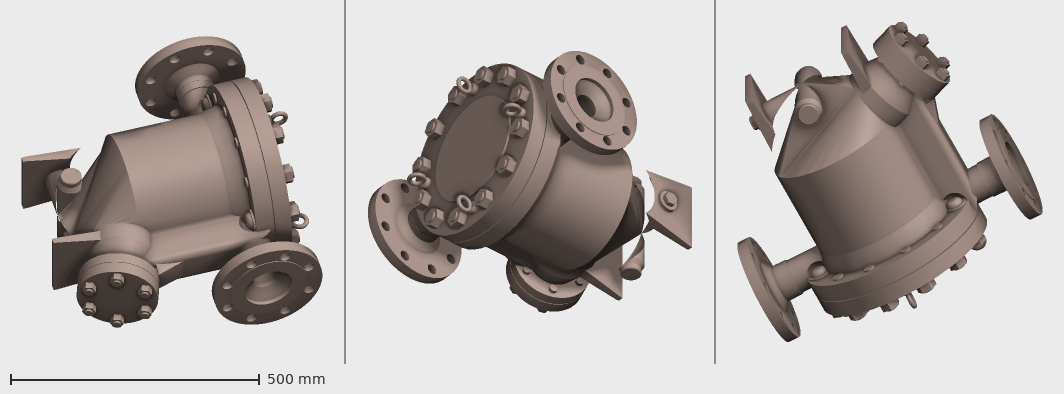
import cadquery as cq
import math


body_radius = 136.5
shoulder_radius = 147.5
shoulder_end_y = -31.0
dome_center_y = -219.0

main_flange_radius = 375.0 / 2
body_flange_bottom_y = 8.0
joint_y = 46.5
joint_gap = 2.5
joint_groove_depth = 4.5
cover_top_y = 81.0
cover_pad_radius = 116.0
cover_pad_height = 4.5
main_bolt_count = 12
main_bolt_circle_radius = 160.0
main_stud_diameter = 24.0
main_stud_bottom_y = body_flange_bottom_y - 3.5
main_stud_top_y = 104.0
main_nut_flats = 36.0
main_nut_height = 18.5
main_nut_turn = 15.0
pocket_radius = 26.0
pocket_center_y = 6.0
stud_washer_radius = 24.5
stud_washer_bottom_y = 4.0
stud_cap_radius = 18.0
stud_cap_bottom_y = -7.5
stud_cap_rounding = 11.0

eye_count = 4
eye_circle_radius = 149.5
eye_ring_radius = 15.0
eye_wire_radius = 4.5
eye_top_y = 126.5
eye_base_radius = 13.5
eye_base_height = 10.5

pipe_span = 580.0
pipe_center_x = 9.0
pipe_radius = 36.0
pipe_flange_radius = 112.5
pipe_flange_thickness = 24.0
raised_face_radius = 80.0
raised_face_height = 2.0
hub_radius = 57.0
hub_length = 13.5
weld_neck_radius = 38.0
weld_neck_length = 32.5
weld_bead_radius = 39.0
weld_bead_start = 44.5
weld_bead_length = 8.5
pipe_hole_count = 8
pipe_hole_diameter = 22.0
pipe_hole_circle_radius = 92.0
bore_radius = 25.0
bore_depth = 93.0
bore_mouth_radius = 50.0
bore_mouth_depth = 8.5
bore_cone_end_depth = 25.5

duct_outer_x = 203.0
duct_half_width = 39.0
duct_corner_radius = 15.0
duct_root_fillet = 12.0
duct_inner_x = 87.0
duct_top_y = 35.5
duct_round_height = 42.0
duct_bottom_y = -255.0

neck_tilt = 20.0
neck_origin_y = -213.0
neck_collar_radius = 72.0
neck_collar_end = 152.5
neck_end_radius = 50.0
neck_start = 58.0
neck_flange_radius = 82.5
neck_flange_start = 205.5
neck_flange_thickness = 22.5
neck_cover_thickness = 25.5
neck_joint_groove = 1.0
neck_bolt_count = 6
neck_bolt_circle_radius = 65.0
neck_stud_diameter = 16.0
neck_stud_inner_length = 7.5
neck_stud_outer_length = 18.5
neck_nut_flats = 24.0
neck_nut_height = 14.5
gusset_top_y = -151.0
gusset_foot_half_width = 39.0
gusset_rim_half_width = 22.0
gusset_overlap = 2.5

boss_radius = 28.0
boss_y = dome_center_y - body_radius + boss_radius
boss_body_end = 94.0
boss_cap_start = 104.5
boss_cap_radius = 21.5
boss_end = 117.0
boss_chamfer = 2.0
plug_boss_end = 112.5
plug_collar_radius = 21.5
plug_collar_end = 119.0
plug_head_flats = 26.5
plug_head_end = 129.5
plug_head_chamfer = 2.5

leg_bottom_y = -400.0
leg_foot_height = 7.0
leg_foot_thickness = 11.5
leg_foot_width = 149.5
leg_thickness_slope = 0.12
leg_width_slope = 0.35
left_leg_x = -100.0
left_leg_top_y = -243.5
right_leg_x = 119.5
right_leg_top_y = -290.0


def revolve_profile(points, axis_frame):
    """Solid of revolution from (distance along axis, radius) points, the axis being the frame's X."""
    return axis_frame.polyline(points).close().revolve(360, (0, 0, 0), (1, 0, 0))


def y_disc(radius, low_y, high_y, x=0.0, z=0.0):
    """Cylinder along Y between two heights."""
    frame = cq.Workplane("XZ", origin=(x, high_y, z))
    return frame.circle(radius).extrude(high_y - low_y)


def hex_prism(frame, flats, height):
    """Hexagonal nut with a corner on the frame's X axis."""
    return frame.polygon(6, flats / math.cos(math.radians(30))).extrude(height)


def vessel_shell():
    dome_bottom_y = dome_center_y - body_radius
    arc_offset = body_radius * math.sqrt(0.5)
    groove_floor = main_flange_radius - joint_groove_depth
    half_gap = joint_gap / 2
    profile = (
        cq.Workplane("XY")
        .moveTo(0, dome_bottom_y)
        .threePointArc((arc_offset, dome_center_y - arc_offset), (body_radius, dome_center_y))
        .lineTo(body_radius, shoulder_end_y)
        .lineTo(shoulder_radius, body_flange_bottom_y)
        .lineTo(main_flange_radius, body_flange_bottom_y)
        .lineTo(main_flange_radius, joint_y - half_gap)
        .lineTo(groove_floor, joint_y - half_gap)
        .lineTo(groove_floor, joint_y + half_gap)
        .lineTo(main_flange_radius, joint_y + half_gap)
        .lineTo(main_flange_radius, cover_top_y)
        .lineTo(cover_pad_radius, cover_top_y)
        .lineTo(cover_pad_radius, cover_top_y + cover_pad_height)
        .lineTo(0, cover_top_y + cover_pad_height)
        .close()
    )
    return profile.revolve(360, (0, 0, 0), (0, 1, 0))


def main_bolt_positions():
    """(X, Z, angle) of every stud, straddling the X and Z axes."""
    step = 360 / main_bolt_count
    positions = []
    for index in range(main_bolt_count):
        angle = (index + 0.5) * step
        x = main_bolt_circle_radius * math.cos(math.radians(angle))
        z = main_bolt_circle_radius * math.sin(math.radians(angle))
        positions.append((x, z, angle))
    return positions


def is_beside_pipe(z):
    """Whether a stud at height z is close enough to the pipe to need a clearance."""
    return abs(z) < pocket_radius + pipe_radius


def stud_pockets():
    """Spherical clearances around the studs next to the pipe, below the body flange."""
    pockets = cq.Workplane("XY")
    for x, z, _ in main_bolt_positions():
        if is_beside_pipe(z):
            ball = cq.Workplane("XY", origin=(x, pocket_center_y, z)).sphere(pocket_radius)
            pockets = pockets.add(ball)
    return pockets.combine()


def main_bolting():
    """Studs and nuts around the cover; the studs next to the pipe end in a washer and a cap."""
    bolts = []
    for x, z, angle in main_bolt_positions():
        bolts.append(y_disc(main_stud_diameter / 2, main_stud_bottom_y, main_stud_top_y, x, z))
        nut_frame = cq.Workplane("XZ", origin=(x, cover_top_y + main_nut_height, z))
        nut_frame = nut_frame.transformed(rotate=(0, 0, angle + main_nut_turn))
        bolts.append(hex_prism(nut_frame, main_nut_flats, main_nut_height))
        if is_beside_pipe(z):
            bolts.append(y_disc(stud_washer_radius, stud_washer_bottom_y, body_flange_bottom_y, x, z))
            cap = y_disc(stud_cap_radius, stud_cap_bottom_y, stud_washer_bottom_y, x, z)
            bolts.append(cap.faces("<Y").edges().fillet(stud_cap_rounding))
    return bolts


def lifting_eyes():
    """Upright rings on short bases, each ring lying in a plane through the vessel axis."""
    eyes = []
    ring_y = eye_top_y - eye_ring_radius - eye_wire_radius
    ring = cq.Workplane("XY").add(
        cq.Solid.makeTorus(eye_ring_radius, eye_wire_radius,
                           cq.Vector(eye_circle_radius, ring_y, 0), cq.Vector(0, 0, 1))
    )
    base = y_disc(eye_base_radius, cover_top_y, cover_top_y + eye_base_height, eye_circle_radius)
    eye = ring.union(base.faces(">Y").edges().fillet(eye_base_height / 2))
    for index in range(eye_count):
        eyes.append(eye.rotate((0, 0, 0), (0, 1, 0), index * 360 / eye_count))
    return eyes


def pipe_branch(face_x, direction):
    """Flanged pipe from the vessel axis out to a flange face, with the bore to cut from it."""
    frame = cq.Workplane("XY", origin=(face_x, 0, 0)).transformed(
        rotate=(0, 0, 0 if direction < 0 else 180))
    flange_back = raised_face_height + pipe_flange_thickness
    neck_start_x = flange_back + hub_length
    neck_end_x = neck_start_x + weld_neck_length
    outline = [
        (0, 0),
        (0, raised_face_radius),
        (raised_face_height, raised_face_radius),
        (raised_face_height, pipe_flange_radius),
        (flange_back, pipe_flange_radius),
        (flange_back, hub_radius),
        (neck_start_x, weld_neck_radius),
        (weld_bead_start, weld_neck_radius),
        (weld_bead_start, weld_bead_radius),
        (weld_bead_start + weld_bead_length, weld_bead_radius),
        (weld_bead_start + weld_bead_length, weld_neck_radius),
        (neck_end_x, weld_neck_radius),
        (neck_end_x, pipe_radius),
        (abs(face_x), pipe_radius),
        (abs(face_x), 0),
    ]
    bore_outline = [
        (0, 0),
        (0, bore_mouth_radius),
        (bore_mouth_depth, bore_mouth_radius),
        (bore_cone_end_depth, bore_radius),
        (bore_depth, bore_radius),
        (bore_depth, 0),
    ]
    holes = (
        cq.Workplane("YZ", origin=(face_x, 0, 0))
        .polarArray(pipe_hole_circle_radius, 180 / pipe_hole_count, 360, pipe_hole_count)
        .circle(pipe_hole_diameter / 2)
        .extrude(-direction * flange_back)
    )
    return revolve_profile(outline, frame).cut(holes), revolve_profile(bore_outline, frame)


def side_duct():
    """Flat-sided channel down the +X side, rounded at its outer corners and top, filleted at its root."""
    center_x = (duct_inner_x + duct_outer_x) / 2
    length = duct_outer_x - duct_inner_x
    section = (
        cq.Workplane("XZ", origin=(center_x, duct_top_y, 0))
        .rect(length, 2 * duct_half_width)
        .extrude(duct_top_y - duct_bottom_y)
        .edges("|Y and >X")
        .fillet(duct_corner_radius)
    )
    rounded_x = duct_outer_x - duct_corner_radius
    side_outline = (
        cq.Workplane("XY", origin=(0, 0, -duct_half_width))
        .moveTo(duct_inner_x, duct_bottom_y)
        .lineTo(duct_outer_x, duct_bottom_y)
        .lineTo(duct_outer_x, duct_top_y - duct_round_height)
        .tangentArcPoint((rounded_x, duct_top_y), relative=False)
        .lineTo(duct_inner_x, duct_top_y)
        .close()
        .extrude(2 * duct_half_width)
    )
    return section.intersect(side_outline).union(duct_root(1)).union(duct_root(-1))


def duct_root(side):
    """Concave fillet strip between the round vessel wall and one flat side of the duct."""
    fillet_z = duct_half_width + duct_root_fillet
    reach = body_radius + duct_root_fillet
    fillet_x = math.sqrt(reach**2 - fillet_z**2)
    wall_share = body_radius / reach
    wall_x = fillet_x * wall_share
    wall_z = fillet_z * wall_share
    middle_angle = (math.atan2(wall_z - fillet_z, wall_x - fillet_x) - math.pi / 2) / 2
    middle_x = fillet_x + duct_root_fillet * math.cos(middle_angle)
    middle_z = fillet_z + duct_root_fillet * math.sin(middle_angle)
    return (
        cq.Workplane("XZ", origin=(0, body_flange_bottom_y, 0))
        .moveTo(duct_inner_x, 0)
        .lineTo(wall_x, side * wall_z)
        .threePointArc((middle_x, side * middle_z), (fillet_x, side * duct_half_width))
        .lineTo(fillet_x, 0)
        .close()
        .extrude(body_flange_bottom_y - dome_center_y)
    )


def access_neck():
    """Inclined neck with its bolted cover, built along its own axis and then tilted."""
    frame = cq.Workplane("XY")
    joint = neck_flange_start + neck_flange_thickness
    cover_face = joint + neck_cover_thickness
    groove_floor = neck_flange_radius - neck_joint_groove
    half_groove = neck_joint_groove / 2
    outline = [
        (neck_start, 0),
        (neck_start, neck_collar_radius),
        (neck_collar_end, neck_collar_radius),
        (neck_flange_start, neck_end_radius),
        (neck_flange_start, neck_flange_radius),
        (joint - half_groove, neck_flange_radius),
        (joint - half_groove, groove_floor),
        (joint + half_groove, groove_floor),
        (joint + half_groove, neck_flange_radius),
        (cover_face, neck_flange_radius),
        (cover_face, 0),
    ]
    neck = revolve_profile(outline, frame)
    stud_length = (neck_stud_inner_length + neck_flange_thickness
                   + neck_cover_thickness + neck_stud_outer_length)
    for index in range(neck_bolt_count):
        angle = math.radians(index * 360 / neck_bolt_count)
        y = neck_bolt_circle_radius * math.sin(angle)
        z = neck_bolt_circle_radius * math.cos(angle)
        stud_start = neck_flange_start - neck_stud_inner_length
        stud_frame = cq.Workplane("YZ", origin=(stud_start, y, z))
        nut_frame = cq.Workplane("YZ", origin=(cover_face, y, z))
        neck = neck.union(stud_frame.circle(neck_stud_diameter / 2).extrude(stud_length))
        neck = neck.union(hex_prism(nut_frame, neck_nut_flats, neck_nut_height))
    neck = neck.rotate((0, 0, 0), (0, 0, 1), -neck_tilt)
    return neck.translate((0, neck_origin_y, 0))


def neck_gusset():
    """Wedge from the duct's outer face to the upper rim of the neck flange, on a narrow web."""
    tilt = math.radians(neck_tilt)
    rim_x = neck_flange_start * math.cos(tilt) + neck_flange_radius * math.sin(tilt)
    rim_y = neck_origin_y - neck_flange_start * math.sin(tilt) + neck_flange_radius * math.cos(tilt)
    rounded_x = duct_outer_x - duct_corner_radius
    drop = gusset_top_y - rim_y + gusset_overlap
    top_half_width = duct_half_width - duct_corner_radius
    wedge = (
        cq.Workplane("XZ", origin=(rounded_x, gusset_top_y, 0))
        .polyline([
            (0, -top_half_width),
            (duct_corner_radius, -top_half_width),
            (duct_corner_radius, top_half_width),
            (0, top_half_width),
        ])
        .close()
        .workplane(offset=drop)
        .polyline([
            (0, -gusset_foot_half_width),
            (rim_x - rounded_x, -gusset_rim_half_width),
            (rim_x - rounded_x, gusset_rim_half_width),
            (0, gusset_foot_half_width),
        ])
        .close()
        .loft(ruled=True)
    )
    face_x = neck_flange_start * math.cos(tilt)
    face_y = neck_origin_y - neck_flange_start * math.sin(tilt)
    web = (
        cq.Workplane("XY", origin=(0, 0, -gusset_rim_half_width))
        .polyline([
            (duct_outer_x, gusset_top_y),
            (rim_x, rim_y),
            (face_x, face_y),
            (rounded_x, face_y),
            (rounded_x, gusset_top_y),
        ])
        .close()
        .extrude(2 * gusset_rim_half_width)
    )
    return wedge.union(web)


def dome_bosses():
    """Two capped bosses along Z and one plugged boss toward -X, all meeting on the vessel axis."""
    capped_outline = [
        (0, 0),
        (0, boss_radius),
        (boss_body_end, boss_radius),
        (boss_cap_start, boss_cap_radius),
        (boss_end - boss_chamfer, boss_cap_radius),
        (boss_end, boss_cap_radius - boss_chamfer),
        (boss_end, 0),
    ]
    capped = revolve_profile(capped_outline, cq.Workplane("XY"))
    plugged_outline = [
        (0, 0),
        (0, boss_radius),
        (-boss_body_end, boss_radius),
        (-plug_boss_end, plug_collar_radius),
        (-plug_collar_end, plug_collar_radius),
        (-plug_collar_end, 0),
    ]
    plugged = revolve_profile(plugged_outline, cq.Workplane("XY"))
    plug_frame = cq.Workplane("YZ", origin=(-plug_head_end, 0, 0))
    plug = hex_prism(plug_frame, plug_head_flats, plug_head_end - plug_collar_end)
    corner_radius = plug_head_flats / math.sqrt(3)
    chamfered_rod = plug_frame.circle(corner_radius).extrude(plug_head_end - plug_collar_end)
    plug = plug.intersect(chamfered_rod.faces("<X").chamfer(plug_head_chamfer))
    upper = capped.rotate((0, 0, 0), (0, 1, 0), -90)
    lower = capped.rotate((0, 0, 0), (0, 1, 0), 90)
    return upper.union(lower).union(plugged).union(plug).translate((0, boss_y, 0))


def support_leg(center_x, top_y):
    """Upright plate that thickens and narrows from its foot up to the vessel."""
    foot_y = leg_bottom_y + leg_foot_height
    foot_half_thickness = leg_foot_thickness / 2
    top_half_thickness = foot_half_thickness + (top_y - leg_bottom_y) * leg_thickness_slope / 2
    foot_half_width = leg_foot_width / 2
    top_half_width = foot_half_width - (top_y - foot_y) * leg_width_slope / 2
    taper = (
        cq.Workplane("XY", origin=(center_x, 0, -foot_half_width))
        .polyline([
            (-foot_half_thickness, leg_bottom_y),
            (foot_half_thickness, leg_bottom_y),
            (top_half_thickness, top_y),
            (-top_half_thickness, top_y),
        ])
        .close()
        .extrude(leg_foot_width)
    )
    side_outline = (
        cq.Workplane("YZ", origin=(center_x - top_half_thickness, 0, 0))
        .polyline([
            (leg_bottom_y, -foot_half_width),
            (foot_y, -foot_half_width),
            (top_y, -top_half_width),
            (top_y, top_half_width),
            (foot_y, foot_half_width),
            (leg_bottom_y, foot_half_width),
        ])
        .close()
        .extrude(2 * top_half_thickness)
    )
    return taper.intersect(side_outline)


inlet, inlet_bore = pipe_branch(pipe_center_x - pipe_span / 2, -1)
outlet, outlet_bore = pipe_branch(pipe_center_x + pipe_span / 2, 1)

result = inlet.union(outlet).union(side_duct()).cut(stud_pockets())
result = result.union(vessel_shell()).union(access_neck()).union(neck_gusset())
result = result.union(dome_bosses())
result = result.union(support_leg(left_leg_x, left_leg_top_y))
result = result.union(support_leg(right_leg_x, right_leg_top_y))
for fastener in main_bolting() + lifting_eyes():
    result = result.union(fastener)
result = result.cut(inlet_bore).cut(outlet_bore)